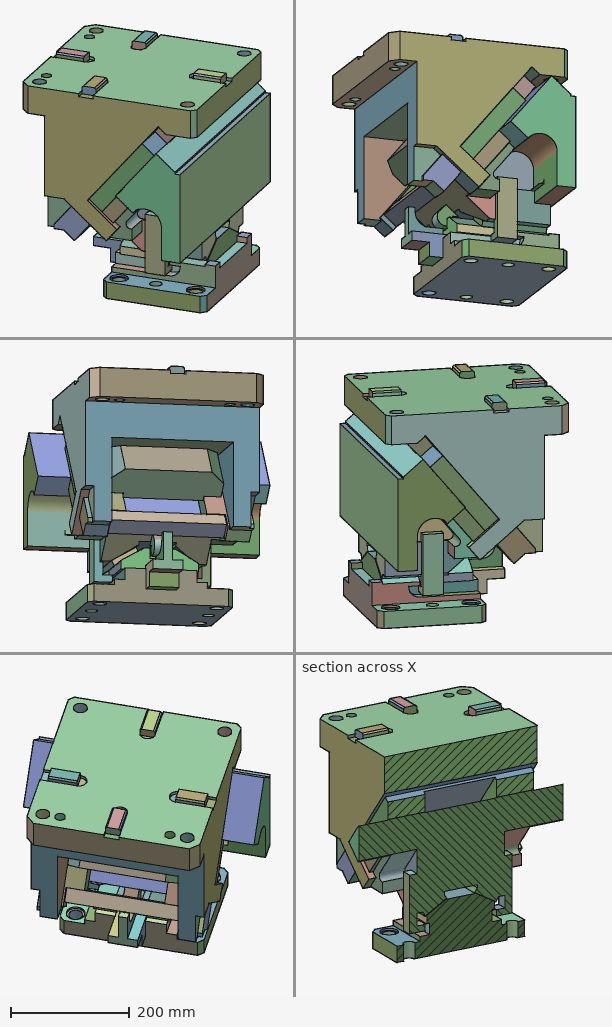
import cadquery as cq
import math


GUIDE_ANGLE = math.radians(50)
GUIDE_X = 104.0
GUIDE_Z = 160.5

FOOT_TOP = 30.5
RAIL_TOP = 181.0
STOP_BOTTOM = 193.0
STOP_TOP = 231.0
SLIDE_TOP = 220.5
WING_BOTTOM = 105.5
RAIL_DEPTH = 31.0
FLANGE_DEPTH = 57.5
FOOT_DEPTH = 70.0

PLATE_LENGTH = 320.0
PLATE_WIDTH = 300.0
PLATE_HALF = PLATE_WIDTH / 2
PLATE_BOTTOM = 325.0
PLATE_TOP = 375.0
PLATE_LEFT_CHAMFER = 15.0
PLATE_RIGHT_CHAMFER = 9.0
BOLT_X = (26.0, 296.0)
BOLT_Y = 125.0
BOLT_DIAMETER = 23.0
DOWEL_Y = 95.0
DOWEL_DIAMETER = 17.0

KEY_TOP = 384.0
KEY_BOTTOM = 369.5
KEY_LENGTH = 50.0
KEY_WIDTH = 26.0
KEY_CHAMFER = 3.0
KEY_CENTER_X = 120.5
SLOT_REACH_SIDE = 78.0
SLOT_REACH_LEFT = 73.5
SLOT_REACH_RIGHT = 71.5
KEY_INSET_SIDE = 14.5
KEY_INSET_END = 10.0

CHEEK_LEFT = 45.0
CHEEK_BOTTOM = 180.0
TONGUE_BOTTOM = 120.0
TONGUE_HALF = 135.0
WINDOW_HALF = 105.0
WINDOW_TOP = 264.5
RAIL_INNER = 69.5
RAIL_OUTER = 143.0
STOP_HALF = WINDOW_HALF
BLOCK_HALF = 99.0
BLOCK_LOW = 25.5
BLOCK_NEAR = -57.5
BLOCK_FAR = -5.0
BLOCK_CHAMFER = 24.0
BLOCK_STEP_FAR = 5.0
EAR_INNER = 101.5
EAR_LEFT = 59.5
EAR_DEPTH = 13.0
EAR_LENGTH = 48.0
BAR_BOTTOM = -39.5
BAR_TOP = -15.0
BAR_RECESS = 1.0
BAR_HALF = 100.5

SLIDE_HALF = 136.0
WING_HALF = 200.0
WING_RIGHT = 313.0
WING_STEP_X = 303.5
WING_STEP_Z = 277.5
WING_LOW = 117.0
SADDLE_HALF = 91.0
SADDLE_RIGHT = 308.0
SADDLE_BOTTOM = 81.0
RELIEF_LEFT = 199.0
ARCH_RADIUS = 29.5
ARCH_RIGHT = 279.0
ARCH_FLOOR = 138.0
ARCH_CORNER_RADIUS = 8.0
ARCH_INNER = 86.0
CHANNEL_TOP = 110.5
HOOK_LEFT = 208.5
HOOK_RIGHT = 244.5
HOOK_TOP = 153.0
HOOK_BOTTOM = 47.0
HOOK_OUTER = 101.0
HOOK_INNER = 85.5
HOOK_TOE = 69.0
PAD_LEFT = 192.5
PAD_INNER = 27.0
PAD_THICKNESS = 10.0
PAD_LENGTH = 49.0
NOSE_HALF = 12.5
NOSE_ROOT_X = 149.0
NOSE_TIP_TOP = (136.0, 109.0)
NOSE_TIP_MIDDLE = (135.0, 93.0)
NOSE_TIP_BOTTOM_X = 145.5
NOSE_BACK_X = 161.0
NOSE_BOTTOM = 85.0
NOSE_SHOULDER = 103.5

BASE_LEFT = 139.0
BASE_RIGHT = 328.0
BASE_HALF = 125.0
BASE_THICKNESS = 30.0
BASE_CHAMFER = 9.0
BASE_BOLT_X = (161.0, 301.0)
BASE_HOLE_Y = 101.0
BASE_BOLT_DIAMETER = 23.0
COUNTERBORE_DIAMETER = 31.0
COUNTERBORE_DEPTH = 3.5
BASE_DOWEL_X = 228.0
BASE_DOWEL_DIAMETER = 21.0

BLOCK_Y = 80.0
BLOCK_TOP = 69.5
LEDGE_TOP = 59.0
RECESS_HALF = 60.0
ROOF_LEFT = 149.0
ROOF_RIGHT = 309.0
ROOF_WIDE_LEFT = HOOK_RIGHT
ROOF_NARROW_HALF = 67.0
RIDGE_HALF = 27.5
RIDGE_TOP = 96.5
ROOF_ANGLE = math.radians(30)
GROOVE_INNER = 62.0
GROOVE_BOTTOM = 39.0
GROOVE_RIGHT = 264.0
NOTCH_HALF = 17.0
NOTCH_BOTTOM = 79.0
NOTCH_LENGTH = 28.0

BRACKET_LEFT = 83.0
BRACKET_STEP_X = 114.0
BRACKET_RIGHT = 145.5
BRACKET_HALF = 25.5
BRACKET_BOTTOM = 24.5
BRACKET_STEP_Z = 49.0
BRACKET_TOP = 65.5
RIB_HALF = 8.0
RIB_TOP = 113.0
RIB_LOW = 81.0
RIB_NECK = 95.0
RIB_RADIUS = 24.0


def guide_point(along, depth):
    """XZ point given in the inclined guide frame."""
    x = GUIDE_X + along * math.cos(GUIDE_ANGLE) + depth * math.sin(GUIDE_ANGLE)
    z = GUIDE_Z + along * math.sin(GUIDE_ANGLE) - depth * math.cos(GUIDE_ANGLE)
    return (x, z)


def guide_line_at_x(along, x):
    """Point at a given X on the line square to the guide."""
    x0, z0 = guide_point(along, 0)
    return (x, z0 - (x - x0) / math.tan(GUIDE_ANGLE))


def guide_line_at_z(along, z):
    """Point at a given Z on the line square to the guide."""
    x0, z0 = guide_point(along, 0)
    return (x0 - (z - z0) * math.tan(GUIDE_ANGLE), z)


def guide_rect(along_0, along_1, depth_0, depth_1):
    return [
        guide_point(along_0, depth_0),
        guide_point(along_1, depth_0),
        guide_point(along_1, depth_1),
        guide_point(along_0, depth_1),
    ]


def rect(x0, x1, z0, z1):
    return [(x0, z0), (x1, z0), (x1, z1), (x0, z1)]


def across(points, half_width):
    """XZ outline extruded symmetrically over the full width."""
    return cq.Workplane("XZ").polyline(points).close().extrude(half_width, both=True)


def mirrored(solid):
    return solid.union(solid.mirror("XZ"))


def both_sides(points, inner, outer):
    """XZ outline extruded from inner to outer on each side of Y = 0."""
    side = cq.Workplane("XZ", origin=(0, -inner, 0)).polyline(points).close().extrude(outer - inner)
    return mirrored(side)


def along_x(points, left, right):
    """YZ outline extruded from left to right."""
    return cq.Workplane("YZ", origin=(left, 0, 0)).polyline(points).close().extrude(right - left)


def symmetric(points):
    """Close a right-hand YZ outline with its mirror image."""
    return points + [(-y, z) for y, z in reversed(points)]


def roof_height(y):
    """Z of the base roof at a given distance from the middle plane."""
    return RIDGE_TOP - (y - RIDGE_HALF) * math.tan(ROOF_ANGLE)


def key_layout():
    """Edge point, inward direction, slot reach and key inset of each key."""
    return [
        ((0, 0), 0, SLOT_REACH_LEFT, KEY_INSET_END),
        ((PLATE_LENGTH, 0), 180, SLOT_REACH_RIGHT, KEY_INSET_END),
        ((KEY_CENTER_X, -PLATE_HALF), 90, SLOT_REACH_SIDE, KEY_INSET_SIDE),
        ((KEY_CENTER_X, PLATE_HALF), 270, SLOT_REACH_SIDE, KEY_INSET_SIDE),
    ]


def placed(solid, edge_point, angle):
    return solid.rotate((0, 0, 0), (0, 0, 1), angle).translate((*edge_point, 0))


def key_slot(reach):
    radius = KEY_WIDTH / 2
    straight = reach - radius
    return (
        cq.Workplane("XY", origin=(0, 0, KEY_BOTTOM))
        .moveTo(0, -radius)
        .lineTo(straight, -radius)
        .threePointArc((reach, 0), (straight, radius))
        .lineTo(0, radius)
        .close()
        .extrude(PLATE_TOP - KEY_BOTTOM)
    )


def key(inset):
    height = KEY_TOP - KEY_BOTTOM
    body = cq.Workplane("XY").box(KEY_LENGTH, KEY_WIDTH, height, centered=(False, True, False))
    body = body.faces(">Z").edges("|X").chamfer(KEY_CHAMFER)
    return body.translate((inset, 0, KEY_BOTTOM))


def make_plate():
    plate = (
        cq.Workplane("XY", origin=(0, 0, PLATE_BOTTOM))
        .box(PLATE_LENGTH, PLATE_WIDTH, PLATE_TOP - PLATE_BOTTOM, centered=(False, True, False))
    )
    plate = plate.edges("|Z and <X").chamfer(PLATE_LEFT_CHAMFER)
    return plate.edges("|Z and >X").chamfer(PLATE_RIGHT_CHAMFER)


def drill_plate(body):
    bolts = [(x, y) for x in BOLT_X for y in (-BOLT_Y, BOLT_Y)]
    dowels = [(BOLT_X[0], y) for y in (-DOWEL_Y, DOWEL_Y)]
    for points, diameter in ((bolts, BOLT_DIAMETER), (dowels, DOWEL_DIAMETER)):
        holes = cq.Workplane("XY", origin=(0, 0, PLATE_BOTTOM)).pushPoints(points).circle(diameter / 2)
        body = body.cut(holes.extrude(PLATE_TOP - PLATE_BOTTOM))
    return body


def make_cheeks():
    """Sloped housing under the plate, opened by the window, with feet at its lower end."""
    to_plate = (PLATE_BOTTOM - GUIDE_Z) / math.sin(GUIDE_ANGLE)
    housing = across(
        [
            (CHEEK_LEFT, PLATE_BOTTOM),
            (CHEEK_LEFT, CHEEK_BOTTOM),
            guide_line_at_z(0, CHEEK_BOTTOM),
            guide_point(0, FOOT_DEPTH),
            guide_point(FOOT_TOP, FOOT_DEPTH),
            guide_point(FOOT_TOP, 0),
            guide_point(to_plate, 0),
        ],
        PLATE_HALF,
    )
    window = across(rect(CHEEK_LEFT, PLATE_LENGTH, 0, WINDOW_TOP), WINDOW_HALF)
    tongue = both_sides(
        [
            (CHEEK_LEFT, CHEEK_BOTTOM),
            (CHEEK_LEFT, TONGUE_BOTTOM),
            guide_line_at_z(-EAR_LENGTH, TONGUE_BOTTOM),
            guide_point(0, 0),
            guide_line_at_z(0, CHEEK_BOTTOM),
        ],
        WINDOW_HALF,
        TONGUE_HALF,
    )
    return housing.cut(window).union(tongue)


def make_ears():
    """Ears below the sloped lower end, proud of the guide face beside the tongues."""
    side_x, side_z = guide_point(0, -EAR_DEPTH)
    proud = both_sides(
        [
            (side_x, side_z),
            (EAR_LEFT, side_z - (side_x - EAR_LEFT) * math.tan(GUIDE_ANGLE)),
            (EAR_LEFT, TONGUE_BOTTOM),
            guide_line_at_z(-EAR_LENGTH, TONGUE_BOTTOM),
            guide_point(-EAR_LENGTH, RAIL_DEPTH),
            guide_point(0, RAIL_DEPTH),
        ],
        WINDOW_HALF,
        RAIL_OUTER,
    )
    flush = both_sides(guide_rect(-EAR_LENGTH, 0, 0, RAIL_DEPTH), EAR_INNER, WINDOW_HALF)
    return proud.union(flush)


def make_bar():
    """Cross bar between the lower ends of the inner rails."""
    return across(guide_rect(BAR_BOTTOM, BAR_TOP, BAR_RECESS, RAIL_DEPTH), BAR_HALF)


def make_rails():
    inner = both_sides(guide_rect(BAR_TOP, RAIL_TOP, 0, RAIL_DEPTH), RAIL_INNER, WINDOW_HALF)
    outer = both_sides(guide_rect(FOOT_TOP, RAIL_TOP, 0, RAIL_DEPTH), WINDOW_HALF, RAIL_OUTER)
    return inner.union(outer)


def make_block():
    """Chamfered block behind the window, with a step between the rails."""
    near_side = (-math.sin(GUIDE_ANGLE), 0, math.cos(GUIDE_ANGLE))
    lengthwise = (math.cos(GUIDE_ANGLE), 0, math.sin(GUIDE_ANGLE))
    near_face = cq.selectors.DirectionMinMaxSelector(cq.Vector(*near_side))
    long_edges = cq.selectors.ParallelDirSelector(cq.Vector(*lengthwise))
    block = across(guide_rect(BLOCK_LOW, RAIL_TOP, BLOCK_NEAR, BLOCK_FAR), BLOCK_HALF)
    block = block.faces(near_face).edges(long_edges).chamfer(BLOCK_CHAMFER)
    step = across(guide_rect(BLOCK_LOW, RAIL_TOP, BLOCK_FAR, BLOCK_STEP_FAR), RAIL_INNER)
    return block.union(step)


def make_holder():
    seat = across(guide_rect(STOP_BOTTOM, STOP_TOP, 0, RAIL_DEPTH), PLATE_HALF)
    stop = across(guide_rect(STOP_BOTTOM, STOP_TOP, 0, RAIL_DEPTH), STOP_HALF)
    body = make_plate().union(make_cheeks()).cut(seat)
    for feature in (stop, make_ears(), make_rails(), make_bar(), make_block()):
        body = body.union(feature)
    body = drill_plate(body)
    for edge_point, angle, reach, inset in key_layout():
        body = body.cut(placed(key_slot(reach), edge_point, angle))
        body = body.union(placed(key(inset), edge_point, angle))
    return body


def slide_outline(lower_end):
    """Upper and right-hand outline shared by slide body and wings, closed by lower_end."""
    return [
        guide_point(SLIDE_TOP, RAIL_DEPTH),
        guide_line_at_x(SLIDE_TOP, WING_STEP_X),
        (WING_STEP_X, WING_STEP_Z),
        (WING_RIGHT, WING_STEP_Z),
        (WING_RIGHT, WING_LOW),
    ] + lower_end


def make_arch():
    """Arched pockets that open on both wing sides, tangent where the wings end."""
    center_x = ARCH_RIGHT - ARCH_RADIUS
    center_depth = (center_x - guide_point(WING_BOTTOM, 0)[0]) / math.sin(GUIDE_ANGLE)
    center_z = guide_point(WING_BOTTOM, center_depth)[1]
    flank_top = guide_point(WING_BOTTOM, center_depth - ARCH_RADIUS)
    flank_bottom_x = flank_top[0] - (flank_top[1] - ARCH_FLOOR) / math.tan(GUIDE_ANGLE)
    pocket = (
        cq.Workplane("XZ", origin=(0, -ARCH_INNER, 0))
        .moveTo(flank_bottom_x, ARCH_FLOOR)
        .lineTo(*flank_top)
        .threePointArc((center_x, center_z + ARCH_RADIUS), (ARCH_RIGHT, center_z))
        .lineTo(ARCH_RIGHT, ARCH_FLOOR)
        .close()
        .extrude(WING_HALF - ARCH_INNER)
        .edges("|Y and <Z")
        .fillet(ARCH_CORNER_RADIUS)
    )
    return mirrored(pocket)


def make_hooks():
    upright = both_sides(rect(HOOK_LEFT, HOOK_RIGHT, HOOK_BOTTOM, HOOK_TOP), HOOK_INNER, HOOK_OUTER)
    toe = both_sides(rect(HOOK_LEFT, HOOK_RIGHT, HOOK_BOTTOM, LEDGE_TOP), HOOK_TOE, HOOK_OUTER)
    return upright.union(toe)


def pad_outline():
    """YZ corners of one pad: two on the roof, two on the saddle."""
    down = (math.cos(ROOF_ANGLE), -math.sin(ROOF_ANGLE))
    up = (math.sin(ROOF_ANGLE), math.cos(ROOF_ANGLE))
    inner = (PAD_INNER, roof_height(PAD_INNER))
    outer = (inner[0] + PAD_LENGTH * down[0], inner[1] + PAD_LENGTH * down[1])
    lift = (PAD_THICKNESS * up[0], PAD_THICKNESS * up[1])
    return [
        inner,
        outer,
        (outer[0] + lift[0], outer[1] + lift[1]),
        (inner[0] + lift[0], inner[1] + lift[1]),
    ]


def make_saddle_cut():
    """Roof-shaped clearance below the saddle with a flat channel on top."""
    pad_top_outer, pad_top_inner = pad_outline()[2:]
    slope = math.tan(ROOF_ANGLE)
    edge_y = pad_top_outer[0] + (pad_top_outer[1] - SADDLE_BOTTOM) / slope
    half = [
        (edge_y, SADDLE_BOTTOM),
        pad_top_inner,
        (pad_top_inner[0], CHANNEL_TOP),
    ]
    return along_x(symmetric(half), 0, BASE_RIGHT)


def make_nose():
    """Rounded nose that hangs from the lower end into the ridge notch."""
    return (
        cq.Workplane("XZ")
        .moveTo(*guide_line_at_x(0, NOSE_ROOT_X))
        .lineTo(*NOSE_TIP_TOP)
        .threePointArc(NOSE_TIP_MIDDLE, (NOSE_TIP_BOTTOM_X, NOSE_BOTTOM))
        .lineTo(NOSE_BACK_X, NOSE_BOTTOM)
        .lineTo(NOSE_BACK_X, NOSE_SHOULDER)
        .lineTo(*guide_line_at_z(0, NOSE_SHOULDER))
        .close()
        .extrude(NOSE_HALF, both=True)
    )


def make_slide():
    body = across(
        slide_outline([
            (SADDLE_RIGHT, WING_LOW),
            (SADDLE_RIGHT, SADDLE_BOTTOM),
            guide_line_at_z(0, SADDLE_BOTTOM),
            guide_point(0, RAIL_DEPTH),
        ]),
        SLIDE_HALF,
    )
    flange = both_sides(guide_rect(FOOT_TOP, WING_BOTTOM, RAIL_DEPTH, FLANGE_DEPTH), SLIDE_HALF, RAIL_OUTER)
    wings = both_sides(
        slide_outline([
            (ARCH_RIGHT, WING_LOW),
            guide_line_at_x(WING_BOTTOM, ARCH_RIGHT),
            guide_point(WING_BOTTOM, RAIL_DEPTH),
        ]),
        SLIDE_HALF,
        WING_HALF,
    )
    body = body.union(flange).union(wings)
    below_wings = both_sides(rect(0, BASE_RIGHT, 0, WING_LOW), SADDLE_HALF, WING_HALF)
    relief = both_sides(rect(RELIEF_LEFT, ARCH_RIGHT, 0, ARCH_FLOOR), SADDLE_HALF, WING_HALF)
    foot_space = both_sides(guide_rect(0, FOOT_TOP, 0, FOOT_DEPTH), WINDOW_HALF, WING_HALF)
    for space in (below_wings, relief, foot_space, make_arch(), make_saddle_cut()):
        body = body.cut(space)
    pads = mirrored(along_x(pad_outline(), PAD_LEFT, SADDLE_RIGHT))
    return body.union(make_hooks()).union(pads).union(make_nose())


def make_base_plate():
    length = BASE_RIGHT - BASE_LEFT
    plate = (
        cq.Workplane("XY", origin=(BASE_LEFT, 0, 0))
        .box(length, 2 * BASE_HALF, BASE_THICKNESS, centered=(False, True, False))
        .edges("|Z")
        .chamfer(BASE_CHAMFER)
    )
    bolts = [(x, y) for x in BASE_BOLT_X for y in (-BASE_HOLE_Y, BASE_HOLE_Y)]
    dowels = [(BASE_DOWEL_X, y) for y in (-BASE_HOLE_Y, BASE_HOLE_Y)]
    top = cq.Workplane("XY", origin=(0, 0, BASE_THICKNESS))
    plate = plate.cut(top.pushPoints(bolts).circle(BASE_BOLT_DIAMETER / 2).extrude(-BASE_THICKNESS))
    plate = plate.cut(top.pushPoints(bolts).circle(COUNTERBORE_DIAMETER / 2).extrude(-COUNTERBORE_DEPTH))
    return plate.cut(top.pushPoints(dowels).circle(BASE_DOWEL_DIAMETER / 2).extrude(-BASE_THICKNESS))


def make_roof(half_width, left, right):
    half = [
        (half_width, LEDGE_TOP),
        (half_width, roof_height(half_width)),
        (RIDGE_HALF, RIDGE_TOP),
    ]
    return along_x(symmetric(half), left, right)


def make_guide_block():
    block = across(rect(BASE_LEFT, BASE_RIGHT, BASE_THICKNESS, LEDGE_TOP), BLOCK_Y)
    posts = both_sides(rect(ROOF_RIGHT, BASE_RIGHT, LEDGE_TOP, BLOCK_TOP), RECESS_HALF, BLOCK_Y)
    narrow = make_roof(ROOF_NARROW_HALF, ROOF_LEFT, ROOF_WIDE_LEFT)
    wide = make_roof(BLOCK_Y, ROOF_WIDE_LEFT, ROOF_RIGHT)
    return block.union(posts).union(narrow).union(wide)


def make_hook_grooves():
    radius = LEDGE_TOP - GROOVE_BOTTOM
    bend_x = GROOVE_RIGHT - radius
    diagonal = radius * math.sqrt(0.5)
    groove = (
        cq.Workplane("XZ", origin=(0, -GROOVE_INNER, 0))
        .moveTo(BASE_LEFT, LEDGE_TOP)
        .lineTo(BASE_LEFT, GROOVE_BOTTOM)
        .lineTo(bend_x, GROOVE_BOTTOM)
        .threePointArc((bend_x + diagonal, LEDGE_TOP - diagonal), (GROOVE_RIGHT, LEDGE_TOP))
        .close()
        .extrude(BLOCK_Y - GROOVE_INNER)
    )
    return mirrored(groove)


def make_ridge_notch():
    straight_end = ROOF_LEFT + NOTCH_LENGTH
    return (
        cq.Workplane("XY", origin=(0, 0, NOTCH_BOTTOM))
        .moveTo(ROOF_LEFT, -NOTCH_HALF)
        .lineTo(straight_end, -NOTCH_HALF)
        .threePointArc((straight_end + NOTCH_HALF, 0), (straight_end, NOTCH_HALF))
        .lineTo(ROOF_LEFT, NOTCH_HALF)
        .close()
        .extrude(RIDGE_TOP - NOTCH_BOTTOM)
    )


def make_bracket():
    """T-shaped bracket on the -X end: stepped flange with an upright rib."""
    flange = across(
        [
            (BRACKET_LEFT, BRACKET_TOP),
            (BRACKET_LEFT, BRACKET_STEP_Z),
            (BRACKET_STEP_X, BRACKET_STEP_Z),
            (BRACKET_STEP_X, BRACKET_BOTTOM),
            (BRACKET_RIGHT, BRACKET_BOTTOM),
            (BRACKET_RIGHT, BRACKET_TOP),
        ],
        BRACKET_HALF,
    )
    arc_x = RIB_NECK + RIB_RADIUS
    arc_z = RIB_LOW + RIB_RADIUS
    diagonal = RIB_RADIUS * math.sqrt(0.5)
    rib = (
        cq.Workplane("XZ")
        .moveTo(BRACKET_LEFT, BRACKET_TOP)
        .lineTo(BRACKET_LEFT, RIB_TOP)
        .lineTo(RIB_NECK, RIB_TOP)
        .lineTo(RIB_NECK, arc_z)
        .threePointArc((arc_x - diagonal, arc_z - diagonal), (arc_x, RIB_LOW))
        .lineTo(BRACKET_RIGHT, RIB_LOW)
        .lineTo(BRACKET_RIGHT, BRACKET_TOP)
        .close()
        .extrude(RIB_HALF, both=True)
    )
    return flange.union(rib)


def make_base():
    body = make_base_plate().union(make_guide_block())
    return body.cut(make_hook_grooves()).cut(make_ridge_notch()).union(make_bracket())


holder = make_holder()
slide = make_slide()
base = make_base()

result = cq.Compound.makeCompound([
    *holder.solids().vals(),
    *slide.solids().vals(),
    *base.solids().vals(),
])